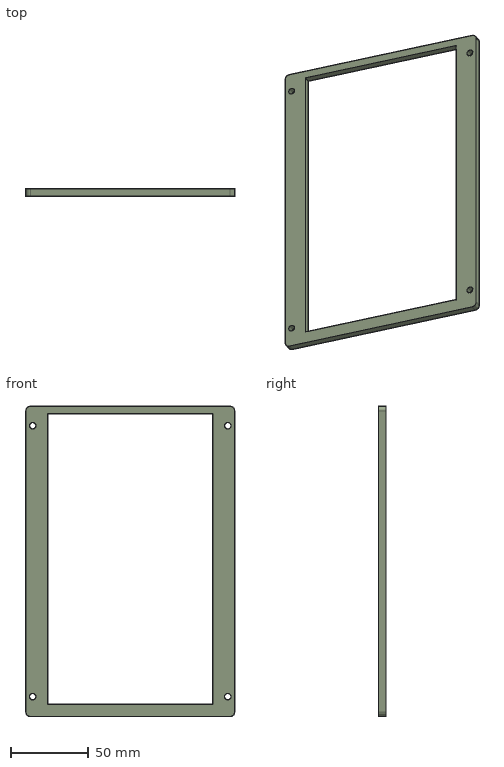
import cadquery as cq

WIDTH = 135.0
HEIGHT = 200.5
THICKNESS = 5.0
CORNER_RADIUS = 3.0

SIDE_RAIL = 14.25
TOP_RAIL = 5.0
BOTTOM_RAIL = 8.0

WINDOW_WIDTH = WIDTH - 2 * SIDE_RAIL
WINDOW_HEIGHT = HEIGHT - TOP_RAIL - BOTTOM_RAIL
WINDOW_CENTER_Z = (BOTTOM_RAIL - TOP_RAIL) / 2

HOLE_DIAMETER = 4.0
HOLE_SIDE_INSET = 4.5
HOLE_TOP_INSET = 12.6
HOLE_BOTTOM_INSET = 12.9

HOLE_SPACING_X = WIDTH - 2 * HOLE_SIDE_INSET
HOLE_SPACING_Z = HEIGHT - HOLE_TOP_INSET - HOLE_BOTTOM_INSET
HOLE_CENTER_Z = (HOLE_BOTTOM_INSET - HOLE_TOP_INSET) / 2


def make_plate():
    """Flat plate with its four corners rounded."""
    plate = cq.Workplane("XY").box(WIDTH, THICKNESS, HEIGHT)
    return plate.edges("|Y").fillet(CORNER_RADIUS)


def make_window():
    """Sharp-cornered block that opens the plate right through."""
    window = cq.Workplane("XY").box(WINDOW_WIDTH, THICKNESS, WINDOW_HEIGHT)
    return window.translate((0, 0, WINDOW_CENTER_Z))


def make_holes():
    """Four cylinders that cut the mounting holes right through."""
    return (
        cq.Workplane("XZ")
        .center(0, HOLE_CENTER_Z)
        .rect(HOLE_SPACING_X, HOLE_SPACING_Z, forConstruction=True)
        .vertices()
        .circle(HOLE_DIAMETER / 2)
        .extrude(THICKNESS / 2, both=True)
    )


result = make_plate().cut(make_window()).cut(make_holes())